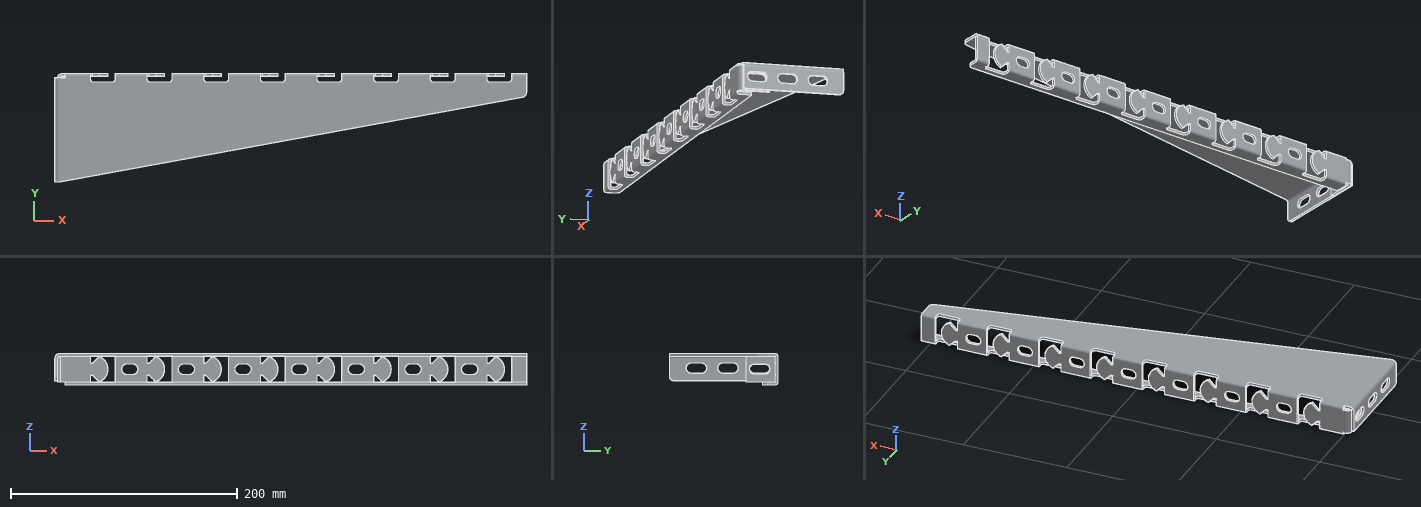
import cadquery as cq
import math

length = 417.0
depth = 96.0
height = 28.0
sheet = 2.5

web_bend_outer = sheet
end_bend_outer = 4.5
tab_bend_outer = 4.0

top_tip_depth = 20.5
bottom_flange_depth = 13.8
tip_radius = 5.0

end_plate_height = 24.0
end_plate_corner = 3.8
corner_relief_x = 9.0
corner_relief_y = 3.8
tab_depth = 28.5

end_slot_length = 18.0
end_slot_width = 8.8
end_slot_count = 3
end_slot_pitch = 28.0
first_end_slot_y = -16.3
end_slot_z = -13.0

pitch = 50.0
window_count = 8
window_start = 31.5
window_length = 21.5
window_depth = 7.5
window_corner = 2.5
tongue_length = 15.5
shoulder_half_width = 11.3
neck_half_width = 5.5
neck_length = 1.5
web_slot_length = 14.0
web_slot_width = 9.0
first_web_slot_x = 66.5

middle_z = -height / 2
inner_height = height - 2 * sheet


def box(x_min, x_max, y_min, y_max, z_min, z_max):
    """Axis-aligned box given by its limits."""
    return cq.Workplane("XY").box(
        x_max - x_min, y_max - y_min, z_max - z_min, centered=False
    ).translate((x_min, y_min, z_min))


def make_channel():
    """C-shaped length: web at the rear with a top and a bottom flange."""
    outer = box(0, length, -depth, 0, -height, 0)
    outer = outer.edges("|X and >Y").fillet(web_bend_outer)
    inner = box(0, length, -depth, -sheet, -height + sheet, -sheet)
    return outer.cut(inner)


def top_outline():
    """Prism over the tapered top flange, down to the middle of the web."""
    outline = (
        cq.Workplane("XY")
        .moveTo(0, 0)
        .lineTo(length, 0)
        .lineTo(length, -top_tip_depth)
        .lineTo(end_bend_outer, -depth)
        .lineTo(0, -depth)
        .close()
        .extrude(middle_z)
    )
    lower_tip = (length, -top_tip_depth, middle_z / 2)
    return outline.edges(cq.NearestToPointSelector(lower_tip)).fillet(tip_radius)


def bottom_outline():
    """Prism over the narrow bottom flange, up to the middle of the web."""
    strip = box(0, length, -bottom_flange_depth, 0, -height, middle_z)
    return strip.edges(">X and <Y").fillet(tip_radius)


def make_arm():
    """Channel trimmed to its flange outlines and cleared at the end-plate corner."""
    arm = make_channel().intersect(top_outline().union(bottom_outline()))
    arm = arm.cut(box(0, end_bend_outer, -depth, 0, -height, 0))
    arm = arm.cut(box(0, corner_relief_x, -corner_relief_y, 0, -height, 0))
    return arm.cut(box(0, corner_relief_x, -depth, 0, -height, middle_z))


def bent_leg(plane, leg, outer_radius):
    """Section of a quarter bend that turns from local +x into a leg along local -y."""
    inner_radius = outer_radius - sheet
    diagonal = math.sqrt(0.5)
    outer_mid = outer_radius * (1 - diagonal)
    inner_mid = outer_radius - inner_radius * diagonal
    return (
        cq.Workplane(plane)
        .moveTo(0, -leg)
        .lineTo(0, -outer_radius)
        .threePointArc((outer_mid, -outer_mid), (outer_radius, 0))
        .lineTo(outer_radius, -sheet)
        .threePointArc((inner_mid, -inner_mid), (sheet, -outer_radius))
        .lineTo(sheet, -leg)
        .close()
    )


def end_slot(x_min, y, z):
    """Cutter for a slot through one sheet whose outer face is at x_min."""
    profile = cq.Workplane("YZ").center(y, z).slot2D(end_slot_length, end_slot_width)
    return profile.extrude(sheet).translate((x_min, 0, 0))


def make_end_plate():
    """Plate turned down from the top flange, with a row of slots."""
    section = bent_leg("XZ", end_plate_height, end_bend_outer)
    plate = section.extrude(depth - corner_relief_y).translate((0, -corner_relief_y, 0))
    plate = plate.edges("|X and <Y and <Z").fillet(end_plate_corner)
    for index in range(end_slot_count):
        plate = plate.cut(end_slot(0, first_end_slot_y - index * end_slot_pitch, end_slot_z))
    return plate


def make_tab():
    """End of the web turned toward -Y, lying against the back of the end plate."""
    bend_end_x = sheet + tab_bend_outer
    neck = box(bend_end_x, corner_relief_x, -sheet, 0, -height + sheet, -sheet)
    section = bent_leg("XY", tab_depth, tab_bend_outer)
    tab = section.extrude(-inner_height).translate((sheet, 0, -sheet))
    return tab.union(neck).cut(end_slot(sheet, first_end_slot_y, middle_z))


def make_window():
    """Cutter for one window through the web and part of both flanges, leaving a tongue."""
    window = box(0, window_length, -window_depth, sheet, -height - sheet, sheet)
    window = window.edges("|Z and <Y").fillet(window_corner)
    shoulder_x = neck_length + shoulder_half_width - neck_half_width
    tongue = (
        cq.Workplane("XZ", origin=(0, 0, middle_z))
        .moveTo(0, -neck_half_width)
        .lineTo(neck_length, -neck_half_width)
        .lineTo(shoulder_x, -shoulder_half_width)
        .threePointArc((tongue_length, 0), (shoulder_x, shoulder_half_width))
        .lineTo(neck_length, neck_half_width)
        .lineTo(0, neck_half_width)
        .close()
        .extrude(sheet, both=True)
    )
    return window.cut(tongue)


def make_web_slot():
    """Cutter for one lengthwise slot through the web."""
    profile = cq.Workplane("XZ", origin=(0, 0, middle_z)).slot2D(web_slot_length, web_slot_width)
    return profile.extrude(sheet)


result = make_arm().union(make_end_plate()).union(make_tab())

window = make_window()
for index in range(window_count):
    result = result.cut(window.translate((window_start + index * pitch, 0, 0)))

web_slot = make_web_slot()
for index in range(window_count - 1):
    result = result.cut(web_slot.translate((first_web_slot_x + index * pitch, 0, 0)))